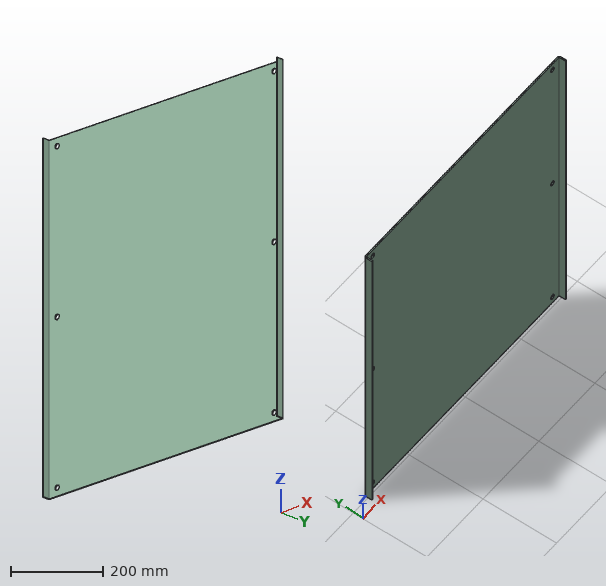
import cadquery as cq

width = 695.5
depth = 21.0
height = 835.0

thickness = 3.5
outer_bend_radius = 5.2
inner_bend_radius = outer_bend_radius - thickness

hole_diameter = 12.5
hole_side_inset = 27.0
hole_end_inset = 20.0


def folded_sheet():
    """Flat panel with a flange folded toward -Y along each side edge."""
    envelope = (
        cq.Workplane("XY")
        .box(width, depth, height)
        .edges("|Z and >Y")
        .fillet(outer_bend_radius)
    )
    hollow = (
        cq.Workplane("XY")
        .box(width - 2 * thickness, depth, height)
        .edges("|Z and >Y")
        .fillet(inner_bend_radius)
        .translate((0, -thickness, 0))
    )
    return envelope.cut(hollow)


def mounting_holes():
    """Cylinders along Y that pierce the flat panel."""
    column_x = width / 2 - hole_side_inset
    row_z = height / 2 - hole_end_inset
    centers = [(x, z) for x in (-column_x, column_x) for z in (-row_z, 0, row_z)]
    return (
        cq.Workplane("XZ")
        .pushPoints(centers)
        .circle(hole_diameter / 2)
        .extrude(depth, both=True)
    )


result = folded_sheet().cut(mounting_holes())